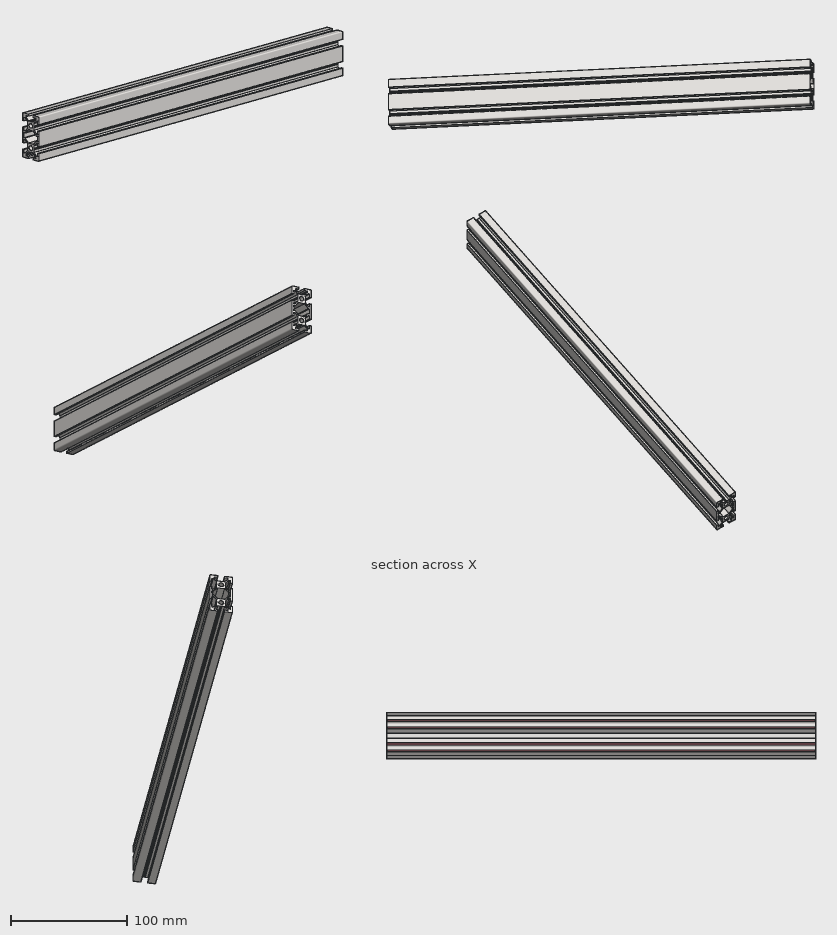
import cadquery as cq
import math

length = 370
cell = 20.0
slot_opening = 6.0
lip_thickness = 1.9
slot_width = 12.0
channel_depth = 4.0
web_thickness = 1.5
groove_width = 1.5
groove_depth = 0.5
bore_diameter = 4.0
corner_radius = 1.0
cavity_width = 13.7
recess_height = 4.5

height = 2 * cell
half_cell = cell / 2
module_offset = half_cell
wall_inside = half_cell - lip_thickness
core_half = wall_inside - channel_depth
web_shift = web_thickness / math.sqrt(2)


def prism(points):
    """Closed outline in the XZ plane, run along the whole length."""
    return cq.Workplane("XZ").polyline(points).close().extrude(length / 2, both=True)


def slot_cutter():
    """T-slot opening upwards (+Z) from a module centred on the origin."""
    right_side = [
        (groove_width / 2, core_half),
        (core_half - web_shift, core_half),
        (slot_width / 2, slot_width / 2 + web_shift),
        (slot_width / 2, wall_inside),
        (slot_opening / 2, wall_inside),
        (slot_opening / 2, half_cell),
    ]
    left_side = [(-x, z) for x, z in reversed(right_side)]
    groove_bottom = (0, core_half - groove_depth)
    return prism([groove_bottom] + right_side + left_side)


def centre_cavity():
    """Large hollow between the two module cores, bounded by the diagonal webs."""
    half_width = cavity_width / 2
    quarter = [
        (core_half - web_shift, module_offset - core_half),
        (half_width, module_offset - half_width - web_shift),
        (half_width, recess_height / 2),
        (wall_inside, recess_height / 2),
    ]
    right_side = quarter + [(x, -z) for x, z in reversed(quarter)]
    left_side = [(-x, -z) for x, z in right_side]
    return prism(right_side + left_side)


def core_bore():
    """Round hole along the axis of one module."""
    return cq.Workplane("XZ").circle(bore_diameter / 2).extrude(length / 2, both=True)


def module_cutters(end_angle):
    """Bore, two side slots and the end slot of one module; end_angle turns the end slot about Y."""
    cutters = core_bore()
    for angle in (end_angle, 90, -90):
        cutters = cutters.add(slot_cutter().rotate((0, 0, 0), (0, 1, 0), angle))
    return cutters.vals()


profile = cq.Workplane("XY").box(cell, length, height).edges("|Y").fillet(corner_radius)

for module_z, end_angle in ((module_offset, 0), (-module_offset, 180)):
    for cutter in module_cutters(end_angle):
        profile = profile.cut(cq.Workplane(cutter.translate(cq.Vector(0, 0, module_z))))

result = profile.cut(centre_cavity())